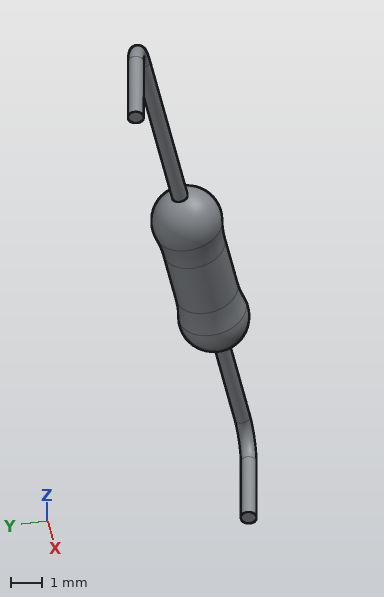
import cadquery as cq
import math

WIRE_DIAMETER = 0.5
BEND_RADIUS = 1.0
LEAD_DROP = 3.5
LEFT_LEAD_X = -10.16
RIGHT_LEAD_X = 7.62

WAIST_RADIUS = 1.0
WAIST_HALF_LENGTH = 1.0
BULB_RADIUS = 1.12
BULB_CENTRE_X = 2.12

NECK_RADIUS = (
    ((BULB_CENTRE_X - WAIST_HALF_LENGTH) ** 2 + WAIST_RADIUS ** 2 - BULB_RADIUS ** 2)
    / (2 * (BULB_RADIUS - WAIST_RADIUS))
)
NECK_ANGLE = math.asin((BULB_CENTRE_X - WAIST_HALF_LENGTH) / (NECK_RADIUS + BULB_RADIUS))


def bulb_point(angle):
    """Point (axial, radial) on the bulb, by angle from its widest ring toward its pole."""
    return (BULB_CENTRE_X + BULB_RADIUS * math.sin(angle), BULB_RADIUS * math.cos(angle))


def neck_point(angle):
    """Point (axial, radial) on the neck arc, by angle from its tangency with the waist."""
    return (
        WAIST_HALF_LENGTH + NECK_RADIUS * math.sin(angle),
        WAIST_RADIUS + NECK_RADIUS * (1 - math.cos(angle)),
    )


def mirrored(point):
    """The matching outline point on the other half of the body."""
    return (-point[0], point[1])


def make_body():
    """Dog-bone body: waist, two necks and two bulbs, revolved about the X axis."""
    waist_end = (WAIST_HALF_LENGTH, WAIST_RADIUS)
    neck_middle = neck_point(NECK_ANGLE / 2)
    neck_end = neck_point(NECK_ANGLE)
    bulb_middle = bulb_point((math.pi / 2 - NECK_ANGLE) / 2)
    pole = (BULB_CENTRE_X + BULB_RADIUS, 0)
    outline = (
        cq.Workplane("XZ")
        .moveTo(*mirrored(pole))
        .threePointArc(mirrored(bulb_middle), mirrored(neck_end))
        .threePointArc(mirrored(neck_middle), mirrored(waist_end))
        .lineTo(*waist_end)
        .threePointArc(neck_middle, neck_end)
        .threePointArc(bulb_middle, pole)
        .close()
    )
    return outline.revolve(360, (0, 0, 0), (1, 0, 0))


def make_lead(lead_x):
    """Wire from inside the body along X, then bent down to its tip at lead_x."""
    inward = -math.copysign(1, lead_x)
    bend_start = (lead_x + inward * BEND_RADIUS, 0)
    bend_middle = (
        lead_x + inward * BEND_RADIUS * (1 - math.cos(math.pi / 4)),
        -BEND_RADIUS * (1 - math.sin(math.pi / 4)),
    )
    bend_end = (lead_x, -BEND_RADIUS)
    path = (
        cq.Workplane("XZ")
        .moveTo(0, 0)
        .lineTo(*bend_start)
        .threePointArc(bend_middle, bend_end)
        .lineTo(lead_x, -LEAD_DROP)
    )
    return cq.Workplane("YZ").circle(WIRE_DIAMETER / 2).sweep(path)


result = make_body()
for tip_x in (LEFT_LEAD_X, RIGHT_LEAD_X):
    result = result.union(make_lead(tip_x))